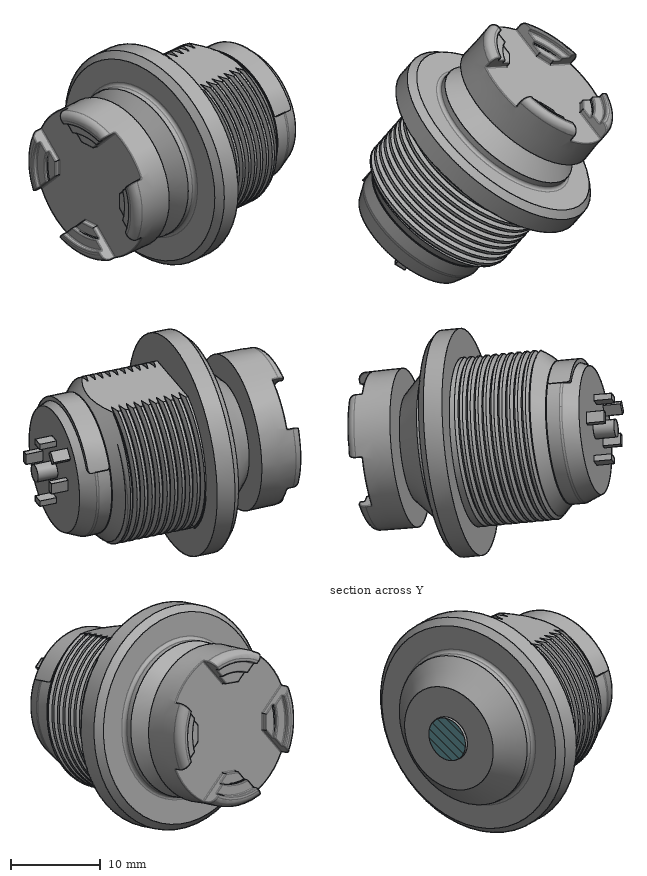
import cadquery as cq
import math


flange_radius = 12.7
flange_thickness = 2.9
flange_chamfer = 0.75

boss_radius = 8.8
boss_fillet = 0.4
boss_cone_start = -3.95
boss_cone_drop = 2.7

thread_radius = 9.5
thread_depth = 0.5
thread_pitch = 25.4 / 28
thread_half_angle = math.radians(30)
thread_end_y = 0.3
thread_start_y = 9.6
thread_end_turn = 129.0
flat_height = 8.42

collar_radius = 8.0
collar_start = 10.75
collar_bevel_start = 12.4
collar_blend = 0.7
neck_radius = 7.95
neck_length = 0.1
rear_y = 14.3
rear_radius = 7.2

key_radius = 8.1
key_end = 13.33
key_bottom_z = 3.07
key_corner = 0.3

center_pin_radius = 1.0
center_pin_tip = 16.68
pin_tip = 16.33
pin_width = 1.3
pin_thickness = 0.7
pin_radius = 3.62
pin_angles = (0, 90, 180, 270)
diagonal_pin_radius = 5.54
diagonal_pin_angle = 135

shaft_radius = 2.55
knob_rear = -7.0
knob_face = -10.45
knob_rear_radius = 8.9
knob_radius = 8.85
grip_height = 1.6
grip_rim_round = 0.9
grip_step_heights = (0.62, 1.08)
grip_step_radii = (6.35, 7.57)
grip_inner = 5.08
grip_side_offset = 4.15
grip_count = 4
grip_edge_round = 0.1

selection_margin = 0.03

boss_front = boss_cone_start - boss_cone_drop
thread_root_radius = thread_radius - thread_depth
thread_cone_end = collar_start - neck_length - (thread_radius - neck_radius)


def cylinder(radius, start, end):
    """Solid cylinder about Y from y = start to y = end."""
    return cq.Workplane("XZ", origin=(0, start, 0)).circle(radius).extrude(start - end)


def spin(profile):
    """Turn a closed outline of (radius, y) once around Y."""
    return profile.close().revolve(360, (0, 0, 0), (0, 1, 0))


def edges_between(start, end, reach=3 * flange_radius):
    """Selector for the edges that lie from y = start to y = end and within reach of the axis."""
    return cq.selectors.BoxSelector((-reach, start, -reach), (reach, end, reach), boundingbox=True)


def housing_body():
    """Turned body: front cone and boss, flange, thread blank, collar and bevelled rear end."""
    boss_fillet_mid = boss_fillet * (1 - math.sqrt(0.5))
    flange_front = -flange_thickness
    body = spin(
        cq.Workplane("XY")
        .moveTo(0, boss_front)
        .lineTo(boss_radius - boss_cone_drop, boss_front)
        .lineTo(boss_radius, boss_cone_start)
        .lineTo(boss_radius, flange_front - boss_fillet)
        .threePointArc(
            (boss_radius + boss_fillet_mid, flange_front - boss_fillet_mid),
            (boss_radius + boss_fillet, flange_front),
        )
        .lineTo(flange_radius - flange_chamfer, flange_front)
        .lineTo(flange_radius, flange_front + flange_chamfer)
        .lineTo(flange_radius, 0)
        .lineTo(thread_radius, 0)
        .lineTo(thread_radius, thread_cone_end)
        .lineTo(neck_radius, collar_start - neck_length)
        .lineTo(neck_radius, collar_start)
        .lineTo(collar_radius, collar_start)
        .lineTo(collar_radius, collar_bevel_start)
        .lineTo(rear_radius, rear_y)
        .lineTo(0, rear_y)
    )
    bevel_edge = edges_between(collar_bevel_start - selection_margin, collar_bevel_start + selection_margin)
    return body.edges(bevel_edge).fillet(collar_blend)


def thread_groove():
    """Right-handed V groove, turned so that it runs out just behind the flange."""
    overshoot = 0.2
    apex = thread_root_radius
    outer = thread_radius + overshoot
    half_width = (outer - apex) * math.tan(thread_half_angle)
    length = thread_start_y - thread_end_y
    helix = cq.Wire.makeHelix(thread_pitch, length, apex)
    groove = (
        cq.Workplane("XZ")
        .polyline([(apex, 0), (outer, half_width), (outer, -half_width)])
        .close()
        .sweep(cq.Workplane(obj=helix), isFrenet=True)
    )
    groove = groove.rotate((0, 0, 0), (1, 0, 0), -90)
    return groove.rotate((0, 0, 0), (0, 1, 0), thread_end_turn).translate((0, thread_end_y, 0))


def flat_cut():
    """Block above the flat that runs along the top of the thread."""
    size = 2 * thread_radius
    length = collar_start - neck_length
    return (
        cq.Workplane("XY")
        .box(size, length, size, centered=(True, False, False))
        .translate((0, 0, flat_height))
    )


def key_pad():
    """Raised band over the top of the collar, with rounded lower rear corners."""
    length = key_end - collar_start
    upper_block = (
        cq.Workplane("XY")
        .box(2 * flange_radius, length, flange_radius, centered=(True, False, False))
        .translate((0, collar_start, key_bottom_z))
        .edges("|X and <Z")
        .fillet(key_corner)
    )
    return cylinder(key_radius, collar_start, key_end).intersect(upper_block)


def flat_pin(radius, angle):
    """Solder pin with its broad side facing outward; angle is measured from +X toward +Z."""
    pin = (
        cq.Workplane("XY")
        .box(pin_thickness, pin_tip - rear_y, pin_width, centered=(True, False, True))
        .translate((radius, rear_y, 0))
    )
    return pin.rotate((0, 0, 0), (0, 1, 0), -angle)


def make_housing():
    """Housing with key pad and pins; the thread is cut last."""
    body = housing_body().cut(flat_cut()).union(key_pad())
    body = body.union(cylinder(center_pin_radius, rear_y, center_pin_tip))
    for angle in pin_angles:
        body = body.union(flat_pin(pin_radius, angle))
    body = body.union(flat_pin(diagonal_pin_radius, diagonal_pin_angle))
    return body.cut(thread_groove())


def knob_envelope():
    """Turned knob with shaft and a full stepped ring that rises outward to the rounded rim."""
    low, middle = (knob_face - height for height in grip_step_heights)
    tip = knob_face - grip_height
    first_radius, second_radius = grip_step_radii
    rim_mid = grip_rim_round * (1 - math.sqrt(0.5))
    turned = spin(
        cq.Workplane("XY")
        .moveTo(0, boss_front)
        .lineTo(shaft_radius, boss_front)
        .lineTo(shaft_radius, knob_rear)
        .lineTo(knob_rear_radius, knob_rear)
        .lineTo(knob_radius, tip + grip_rim_round)
        .threePointArc((knob_radius - rim_mid, tip + rim_mid), (knob_radius - grip_rim_round, tip))
        .lineTo(second_radius, tip)
        .lineTo(second_radius, middle)
        .lineTo(first_radius, middle)
        .lineTo(first_radius, low)
        .lineTo(0, low)
    )
    step_edges = edges_between(
        tip - selection_margin, low + selection_margin, second_radius + selection_margin)
    return turned.edges(step_edges).edges("%CIRCLE").fillet(grip_edge_round)


def grip_prism():
    """One grip: a narrow inner side and two sides opening outward at 45 degrees."""
    inner_half_width = grip_inner - grip_side_offset
    outer_half_width = flange_radius - grip_side_offset
    return (
        cq.Workplane("XZ", origin=(0, knob_face, 0))
        .polyline([
            (-inner_half_width, grip_inner),
            (inner_half_width, grip_inner),
            (outer_half_width, flange_radius),
            (-outer_half_width, flange_radius),
        ])
        .close()
        .extrude(grip_height)
    )


def make_knob():
    """Blank with four rounded-in grips, trimmed to the turned envelope and rounded on top."""
    blank = cylinder(2 * flange_radius, knob_face, boss_front)
    for index in range(grip_count):
        blank = blank.union(grip_prism().rotate((0, 0, 0), (0, 1, 0), index * 360 / grip_count))
    root_edges = edges_between(knob_face - selection_margin, knob_face + selection_margin)
    blank = blank.edges(root_edges).edges("%LINE").fillet(grip_edge_round)
    knob_blank = knob_envelope().intersect(blank)
    low = knob_face - grip_step_heights[0]
    top_edges = edges_between(low - selection_margin, low + selection_margin)
    return knob_blank.edges(top_edges).edges("%LINE").fillet(grip_edge_round)


housing = make_housing()
knob = make_knob()
result = cq.Compound.makeCompound([housing.val(), knob.val()])